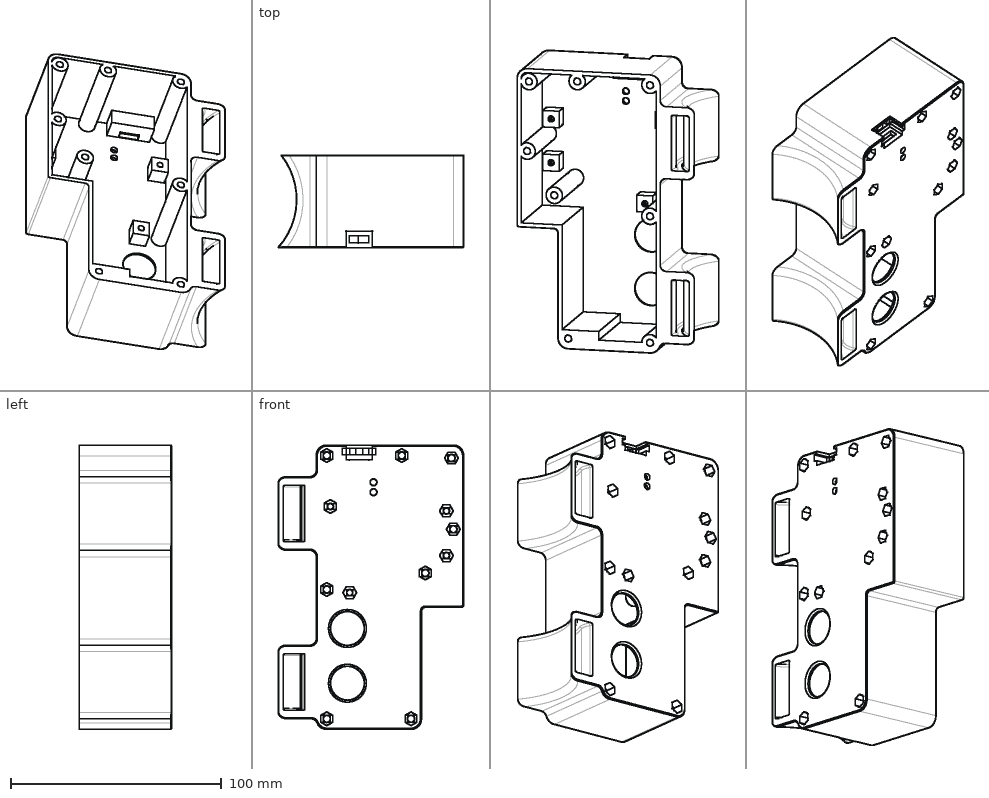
import cadquery as cq
import math


DEPTH = 44.0
HEIGHT = 135.0
UPPER_WIDTH = 70.0
LOWER_WIDTH = 50.0
STEP_Z = 58.0
BLOCK_RADIUS = 5.0
STEP_OUTER_RADIUS = 1.0
STEP_INNER_RADIUS = 2.0
FRONT_CHAMFER = 0.5
PICK_REACH = 0.1

EAR_HEIGHT = 35.0
EAR_BOTTOMS = (5.0, 85.0)
EAR_RADIUS = 3.0
EAR_ROOT_RADIUS = 3.0
TUBE_RADIUS = 34.0
TUBE_Y = 23.0
TUBE_X = -43.37

STRAP_HEIGHT = 27.0
STRAP_GAP = 4.0
STRAP_COVER = 2.0
STRAP_INNER_RADIUS = TUBE_RADIUS + STRAP_COVER
STRAP_OUTER_RADIUS = STRAP_INNER_RADIUS + STRAP_GAP
STRAP_EDGE_RADIUS = 0.9
MOUTH_X = -5.4
MOUTH_TAPER = math.radians(28.7)
MOUTH_DEPTH = 9.0
THROAT_RADIUS = 7.0
SLOT_OVERSHOOT = 2.0

WALL = 2.0
BOTTOM_WALL = 5.0
LEDGE_X = 30.0
LEDGE_HEIGHT = 4.2

NUT_DIAMETER = 6.5
NUT_DEPTH = 6.0
BRIDGE_LAYER = 0.4
POINT_UP = 30
FLAT_UP = 0
BOSS_DIAMETER = 8.0
CASE_SCREW = 3.3
BOARD_SCREW = 2.8
BOARD_POST_DEPTH = 10.0
BOARD_POST_WIDTH = 8.0
CASE_HOLES_UPRIGHT = (
    (5.0, 5.0),
    (45.0, 5.0),
    (5.0, 66.4),
    (51.8, 74.2),
    (5.0, 130.0),
    (40.6, 130.0),
)
CASE_HOLES_FLAT = ((65.1, 95.0), (64.2, 128.8))
BOARD_HOLES_UPRIGHT = ((6.7, 105.8),)
BOARD_HOLES_FLAT = ((15.9, 64.9), (61.8, 82.5), (61.8, 103.7))

SENSOR_DIAMETER = 16.0
SENSOR_CHAMFER = 1.0
SENSOR_X = 14.8
SENSOR_Z = (21.9, 47.9)
LIGHT_DIAMETER = 3.1
LIGHT_X = 27.2
LIGHT_Z = (112.6, 117.3)

NOTCH_X = 20.4
NOTCH_WIDTH = 12.5
NOTCH_DEPTH = 8.0
NOTCH_FLOOR_Z = 128.0
GROOVE_WIDTH = 15.9
GROOVE_BOTTOM_Z = 130.3
GROOVE_TOP_Z = 133.5
NOTCH_WALL = 2.5
NOTCH_BACK_WALL = 4.0
PIN_RECESS_DEPTH = 0.4
PIN_WINDOW_WIDTH = 2.9
PIN_WINDOW_OFFSET = 3.1
PIN_WINDOW_DEPTH = 2.0
CABLE_SLOT_WIDTH = 9.3
CABLE_SLOT_FRONT = 2.4
CABLE_SLOT_DEPTH = 3.4


def prism(points, y_start, y_end):
    """Straight-sided (x, z) outline extruded from y_start to y_end."""
    return cq.Workplane("XZ", origin=(0, y_start, 0)).polyline(points).close().extrude(y_start - y_end)


def box(x0, x1, y0, y1, z0, z1):
    """Block between the given limits along X, Y and Z."""
    return cq.Workplane("XY").box(x1 - x0, y1 - y0, z1 - z0, centered=False).translate((x0, y0, z0))


def rods(centers, diameter, y_start, y_end):
    """Round bars along Y at each (x, z)."""
    plane = cq.Workplane("XZ", origin=(0, y_start, 0)).pushPoints(centers)
    return plane.circle(diameter / 2).extrude(y_start - y_end)


def round_edge(body, x, z, radius):
    """Round the edge that runs along Y at (x, z)."""
    reach = PICK_REACH
    corner = cq.selectors.BoxSelector((x - reach, 0, z - reach), (x + reach, DEPTH, z + reach))
    return body.edges("|Y").edges(corner).fillet(radius)


def make_block():
    """Stepped main block, wide above and narrow below, with its long edges rounded."""
    outline = (
        (0, 0),
        (LOWER_WIDTH, 0),
        (LOWER_WIDTH, STEP_Z),
        (UPPER_WIDTH, STEP_Z),
        (UPPER_WIDTH, HEIGHT),
        (0, HEIGHT),
    )
    block = prism(outline, 0, DEPTH)
    for x, z in ((0, 0), (LOWER_WIDTH, 0), (UPPER_WIDTH, HEIGHT), (0, HEIGHT)):
        block = round_edge(block, x, z, BLOCK_RADIUS)
    block = round_edge(block, UPPER_WIDTH, STEP_Z, STEP_OUTER_RADIUS)
    return round_edge(block, LOWER_WIDTH, STEP_Z, STEP_INNER_RADIUS)


def make_ear(bottom):
    """Saddle ear hollowed by the tube, with its upper and lower saddle edges rounded."""
    top = bottom + EAR_HEIGHT
    ear = box(TUBE_X, BLOCK_RADIUS, 0, DEPTH, bottom, top)
    tube = cq.Workplane("XY").center(TUBE_X, TUBE_Y).circle(TUBE_RADIUS).extrude(HEIGHT)
    ear = ear.cut(tube)
    return ear.edges("%CIRCLE").fillet(EAR_RADIUS)


def root_fillet(z, side):
    """Concave corner between the block's left wall and a horizontal ear face; side is +1 above."""
    r = EAR_ROOT_RADIUS
    square = box(-r, 0, 0, DEPTH, min(z, z + side * r), max(z, z + side * r))
    return square.cut(rods([(-r, z + side * r)], 2 * r, 0, DEPTH))


def bottom_root_fillet():
    """Concave blend between the lowest ear face and the block's rounded bottom corner."""
    z = EAR_BOTTOMS[0]
    r = EAR_ROOT_RADIUS
    reach = BLOCK_RADIUS + r
    drop = BLOCK_RADIUS - (z - r)
    run = math.sqrt(reach**2 - drop**2)
    center = (BLOCK_RADIUS - run, z - r)
    share = BLOCK_RADIUS / reach
    tangent = (BLOCK_RADIUS - run * share, BLOCK_RADIUS - drop * share)
    wedge = prism(((center[0], z), (BLOCK_RADIUS, z), tangent, center), 0, DEPTH)
    return wedge.cut(rods([center], 2 * r, 0, DEPTH))


def make_outside():
    """Block and ears as one solid body with the front outline chamfered."""
    body = make_block()
    for bottom in EAR_BOTTOMS:
        body = body.union(make_ear(bottom)).union(root_fillet(bottom + EAR_HEIGHT, 1))
    body = body.union(root_fillet(EAR_BOTTOMS[1], -1)).union(bottom_root_fillet())
    body = body.clean()
    return body.faces("<Y").edges().chamfer(FRONT_CHAMFER)


def make_cavity():
    """Room behind the front plate, open at the back, with a ledge at the lower right."""
    ledge = BOTTOM_WALL + LEDGE_HEIGHT
    outline = (
        (WALL, BOTTOM_WALL),
        (LEDGE_X, BOTTOM_WALL),
        (LEDGE_X, ledge),
        (LOWER_WIDTH - WALL, ledge),
        (LOWER_WIDTH - WALL, STEP_Z + WALL),
        (UPPER_WIDTH - WALL, STEP_Z + WALL),
        (UPPER_WIDTH - WALL, HEIGHT - WALL),
        (WALL, HEIGHT - WALL),
    )
    cavity = prism(outline, WALL, DEPTH)
    for x in (WALL, UPPER_WIDTH - WALL):
        cavity = round_edge(cavity, x, HEIGHT - WALL, BLOCK_RADIUS - WALL)
    return cavity


def make_posts():
    """Screw bosses and board posts that stand in the cavity, and the walls around the connector."""
    posts = rods(CASE_HOLES_UPRIGHT + CASE_HOLES_FLAT, BOSS_DIAMETER, WALL, DEPTH)
    half = BOARD_POST_WIDTH / 2
    for x, z in BOARD_HOLES_UPRIGHT + BOARD_HOLES_FLAT:
        posts = posts.union(box(x - half, x + half, WALL, BOARD_POST_DEPTH, z - half, z + half))
    half = GROOVE_WIDTH / 2 + NOTCH_WALL
    back = NOTCH_DEPTH + NOTCH_BACK_WALL
    housing = box(NOTCH_X - half, NOTCH_X + half, WALL, back, NOTCH_FLOOR_Z - NOTCH_WALL, HEIGHT)
    return posts.union(housing)


def screw_cutter(x, z, diameter, hex_turn):
    """Nut pocket, a slot and a square as bridging layers, then the round hole."""
    plane = cq.Workplane("XZ", origin=(x, 0, z))
    nut = plane.polygon(6, NUT_DIAMETER).extrude(-NUT_DEPTH)
    nut = nut.rotate((x, 0, z), (x, 1, z), hex_turn)
    half = diameter / 2
    slot_end = NUT_DEPTH + BRIDGE_LAYER
    square_end = slot_end + BRIDGE_LAYER
    deeper_nut = nut.translate((0, BRIDGE_LAYER, 0))
    slot = deeper_nut.intersect(box(x - NUT_DIAMETER, x + NUT_DIAMETER, 0, slot_end, z - half, z + half))
    square = box(x - half, x + half, 0, square_end, z - half, z + half)
    return nut.union(slot).union(square).union(rods([(x, z)], diameter, 0, DEPTH))


def cut_screw_holes(body):
    """Cut every nut pocket and its screw hole."""
    groups = (
        (CASE_HOLES_UPRIGHT, CASE_SCREW, POINT_UP),
        (CASE_HOLES_FLAT, CASE_SCREW, FLAT_UP),
        (BOARD_HOLES_UPRIGHT, BOARD_SCREW, POINT_UP),
        (BOARD_HOLES_FLAT, BOARD_SCREW, FLAT_UP),
    )
    for centers, diameter, hex_turn in groups:
        for x, z in centers:
            body = body.cut(screw_cutter(x, z, diameter, hex_turn))
    return body


def cut_plate_holes(body):
    """Two large chamfered holes and two small plain ones through the front plate."""
    sensors = [(SENSOR_X, z) for z in SENSOR_Z]
    body = body.cut(rods(sensors, SENSOR_DIAMETER, 0, WALL))
    for x, z in sensors:
        radius = SENSOR_DIAMETER / 2
        cone = cq.Solid.makeCone(
            radius + SENSOR_CHAMFER, radius, SENSOR_CHAMFER, cq.Vector(x, 0, z), cq.Vector(0, 1, 0)
        )
        body = body.cut(cq.Workplane(cone))
    return body.cut(rods([(LIGHT_X, z) for z in LIGHT_Z], LIGHT_DIAMETER, 0, WALL))


def cut_connector_notch(body):
    """Notch with side grooves, two pin windows in its back wall and a cable slot in its floor."""

    def cut_centered(part, width, y0, y1, z0, z1, x=NOTCH_X):
        return part.cut(box(x - width / 2, x + width / 2, y0, y1, z0, z1))

    band = (GROOVE_BOTTOM_Z, GROOVE_TOP_Z)
    recess_back = NOTCH_DEPTH + PIN_RECESS_DEPTH
    window_back = recess_back + PIN_WINDOW_DEPTH
    slot_back = CABLE_SLOT_FRONT + CABLE_SLOT_DEPTH
    slot_bottom = NOTCH_FLOOR_Z - NOTCH_WALL
    body = cut_centered(body, NOTCH_WIDTH, 0, NOTCH_DEPTH, NOTCH_FLOOR_Z, HEIGHT)
    body = cut_centered(body, NOTCH_WIDTH, NOTCH_DEPTH, recess_back, *band)
    body = cut_centered(body, GROOVE_WIDTH, 0, NOTCH_DEPTH, *band)
    body = cut_centered(body, CABLE_SLOT_WIDTH, CABLE_SLOT_FRONT, slot_back, slot_bottom, NOTCH_FLOOR_Z)
    for side in (-1, 1):
        window_x = NOTCH_X + side * PIN_WINDOW_OFFSET
        body = cut_centered(body, PIN_WINDOW_WIDTH, NOTCH_DEPTH, window_back, *band, x=window_x)
    return body


def strap_mouth(y_face, inward):
    """Tapered opening that narrows from the face at y_face; inward is +1 or -1 along Y."""
    y_outer = y_face - inward * SLOT_OVERSHOOT
    y_inner = y_face + inward * MOUTH_DEPTH
    slope = math.tan(MOUTH_TAPER)
    points = (
        (TUBE_X, y_outer),
        (MOUTH_X + SLOT_OVERSHOOT * slope, y_outer),
        (MOUTH_X - MOUTH_DEPTH * slope, y_inner),
        (TUBE_X, y_inner),
    )
    return cq.Workplane("XY").polyline(points).close().extrude(STRAP_HEIGHT)


def make_strap_slot(bottom):
    """Curved slot through the ear, with a tapered mouth and a rounded throat at each end."""
    axis = cq.Workplane("XY").center(TUBE_X, TUBE_Y)
    slot = axis.circle(STRAP_OUTER_RADIUS).extrude(STRAP_HEIGHT)
    slot = slot.union(strap_mouth(0, 1)).union(strap_mouth(DEPTH, -1))
    slot = slot.cut(axis.circle(STRAP_INNER_RADIUS).extrude(STRAP_HEIGHT))
    y_end = DEPTH + SLOT_OVERSHOOT
    slot = slot.intersect(box(TUBE_X, BLOCK_RADIUS, -SLOT_OVERSHOOT, y_end, 0, STRAP_HEIGHT))
    inside = cq.selectors.BoxSelector((TUBE_X, 0, 0), (BLOCK_RADIUS, DEPTH, STRAP_HEIGHT))
    slot = slot.edges("|Z").edges(inside).fillet(THROAT_RADIUS)
    slot = slot.faces("|Z").edges("not(<Y or >Y)").fillet(STRAP_EDGE_RADIUS)
    return slot.translate((0, 0, bottom + (EAR_HEIGHT - STRAP_HEIGHT) / 2))


def make_part():
    """Hollow housing with all of its openings."""
    outside = make_outside()
    body = outside.cut(make_cavity()).union(make_posts().intersect(outside))
    for bottom in EAR_BOTTOMS:
        body = body.cut(make_strap_slot(bottom))
    body = cut_screw_holes(body)
    body = cut_plate_holes(body)
    return cut_connector_notch(body)


result = make_part()